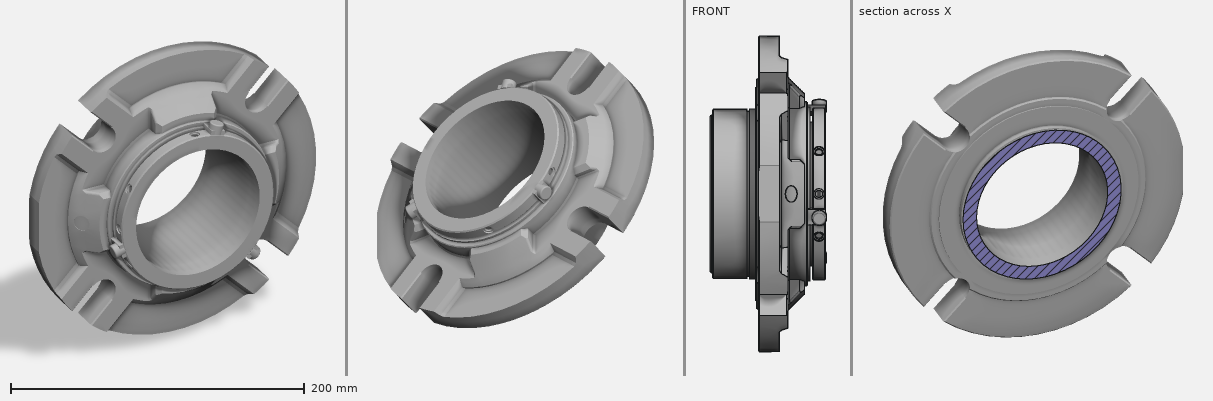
import cadquery as cq


bore_radius = 95.3 / 2
sleeve_radius = 107.8 / 2
sleeve_neck_radius = 98.3 / 2
sleeve_end_chamfer = 1.0
collar_start_x = 1.7
collar_radius = 115.8 / 2
spigot_radius = 116.2 / 2
collar_chamfer = 0.9
groove_start_x = 25.2
groove_end_x = 27.0
groove_radius = 113.0 / 2

register_face_x = 31.0
register_radius = 145.5 / 2
pilot_face_x = 32.0
pilot_radius = 79.1
pilot_chamfer = 1.0
flange_front_x = 33.0
flange_back_x = 47.5
flange_radius = 107.8
flange_chamfer = 0.9
flat_distance = 106.0

slot_angles = [45, 135, 225, 315]
slot_width = 20.0
slot_end_distance = 84.8
slot_chamfer = 0.9
pad_face_x = 53.3
pad_top_half_width = 24.5
pad_foot_half_width = 27.4
pad_base_half_width = 29.8
pad_inner_distance = 64.7

lobe_angles = [0, 90, 180, 270]
lobe_face_x = 64.7
short_lobe_face_x = 60.8
short_lobe_angle = 0
cone_top_radius = 68.4
cone_foot_x = 48.7
cone_foot_radius = cone_top_radius + lobe_face_x - cone_foot_x
lobe_half_width = 23.5
lobe_top_chamfer = 3.5
lobe_side_round = 1.7
core_radius = 63.0
core_face_x = 66.5
core_chamfer = 0.6
foot_chamfer = 1.0
end_ring_radius = 119.0 / 2
end_ring_face_x = 68.4

port_diameter = 11.2
port_x = 55.6
port_depth = 0.5

ring_start_x = 69.9
ring_end_x = 79.0
ring_radius = 117.5 / 2
ring_chamfer = 0.9
ring_middle_x = (ring_start_x + ring_end_x) / 2
screw_hole_angles = [30, 90, 150, 210, 270, 330]
slotted_screw_angle = 180
screw_hole_diameter = 7.1
screw_hole_depth = 1.0
set_screw_diameter = 5.0
set_screw_depth = 2.5
screw_slot_width = 1.5
screw_slot_depth = 1.3

clip_angles = [75, 195, 315]
clip_width = 10.8
clip_inner_radius = 58.2
clip_outer_radius = 61.5
clip_foot_radius = 56.7
cap_diameter = 10.0
cap_x = 74.6
cap_top_radius = 65.8
cap_edge_round = 0.9


def turned(points):
    """Solid of revolution about X from (x, radius) points."""
    return cq.Workplane("XY").polyline(points).close().revolve(360, (0, 0, 0), (1, 0, 0))


def about_axis(shape, angle):
    return shape.rotate((0, 0, 0), (1, 0, 0), angle)


def block(x_range, y_range, z_range):
    corner = (x_range[0], y_range[0], z_range[0])
    size = [high - low for low, high in (x_range, y_range, z_range)]
    return cq.Workplane("XY").box(*size, centered=False).translate(corner)


def radial_cylinder(x, diameter, inner, outer):
    """Cylinder along +Y between two distances from the shaft axis."""
    return (
        cq.Workplane("XZ", origin=(x, outer, 0))
        .circle(diameter / 2)
        .extrude(outer - inner)
    )


def turned_body():
    return turned([
        (0, 0),
        (0, sleeve_radius - sleeve_end_chamfer),
        (sleeve_end_chamfer, sleeve_radius),
        (collar_start_x, sleeve_radius),
        (collar_start_x, collar_radius - collar_chamfer),
        (collar_start_x + collar_chamfer, collar_radius),
        (groove_start_x, collar_radius),
        (groove_start_x, groove_radius),
        (groove_end_x, groove_radius),
        (groove_end_x, spigot_radius),
        (register_face_x, spigot_radius),
        (register_face_x, register_radius),
        (pilot_face_x, register_radius),
        (pilot_face_x, pilot_radius - pilot_chamfer),
        (flange_front_x, pilot_radius),
        (flange_front_x, flange_radius - flange_chamfer),
        (flange_front_x + flange_chamfer, flange_radius),
        (lobe_face_x, flange_radius),
        (lobe_face_x, core_radius),
        (core_face_x - core_chamfer, core_radius),
        (core_face_x, core_radius - core_chamfer),
        (core_face_x, end_ring_radius),
        (end_ring_face_x, end_ring_radius),
        (end_ring_face_x, sleeve_neck_radius),
        (ring_start_x, sleeve_neck_radius),
        (ring_start_x, ring_radius - ring_chamfer),
        (ring_start_x + ring_chamfer, ring_radius),
        (ring_end_x - ring_chamfer, ring_radius),
        (ring_end_x, ring_radius - ring_chamfer),
        (ring_end_x, 0),
    ])


def prism_along_y(upper_side, inner):
    """Prism from a distance along +Y outwards; its section mirrors (x, z) points about z = 0."""
    lower_side = [(x, -z) for x, z in reversed(upper_side)]
    return (
        cq.Workplane("XZ", origin=(0, 2 * flange_radius, 0))
        .polyline(upper_side + lower_side)
        .close()
        .extrude(2 * flange_radius - inner)
    )


def pad():
    """Strip along +Y from the recess floor to the pad face, with sloped sides and a flared foot."""
    upper_side = [
        (flange_back_x, pad_base_half_width),
        (cone_foot_x, pad_foot_half_width),
        (pad_face_x, pad_top_half_width),
    ]
    return prism_along_y(upper_side, pad_inner_distance)


def rim_recess():
    """Ring outside the hub cone, from the recess floor to the lobe faces, less the four pads."""
    ring = turned([
        (flange_back_x, cone_foot_radius),
        (cone_foot_x, cone_foot_radius),
        (lobe_face_x, cone_top_radius),
        (lobe_face_x, 2 * flange_radius),
        (flange_back_x, 2 * flange_radius),
    ])
    for angle in slot_angles:
        ring = ring.cut(about_axis(pad(), angle))
    return ring


def slot():
    """Open slot along +Y; its straight walls are chamfered at both flange faces."""
    half = slot_width / 2
    flared = half + slot_chamfer
    upper_side = [
        (0, flared),
        (flange_front_x, flared),
        (flange_front_x + slot_chamfer, half),
        (pad_face_x - slot_chamfer, half),
        (pad_face_x, flared),
        (core_face_x, flared),
    ]
    channel = prism_along_y(upper_side, slot_end_distance)
    end = cq.Workplane("YZ").center(slot_end_distance, 0).circle(half).extrude(core_face_x)
    return channel.union(end)


def lobe_bar(face_x):
    """Bar along +Y that a lobe is left from, with chamfered top edges and a flared foot."""
    upper_side = [
        (pad_face_x, lobe_half_width + foot_chamfer),
        (pad_face_x + foot_chamfer, lobe_half_width),
        (face_x - lobe_top_chamfer, lobe_half_width),
        (face_x, lobe_half_width - lobe_top_chamfer),
    ]
    return prism_along_y(upper_side, sleeve_radius)


def hub_pockets():
    """Ring around the core that is cut from the hub cone, less the four lobe bars."""
    ring = turned([
        (pad_face_x, core_radius + foot_chamfer),
        (pad_face_x + foot_chamfer, core_radius),
        (core_face_x, core_radius),
        (core_face_x, cone_foot_radius),
        (pad_face_x, cone_foot_radius),
    ])
    for angle in lobe_angles:
        face_x = short_lobe_face_x if angle == short_lobe_angle else lobe_face_x
        ring = ring.cut(about_axis(lobe_bar(face_x), angle))
    return ring


def round_lobe_flanks(body):
    """Rounds the edges where the lobe flanks meet the hub cone, turning each lobe to +Y in turn."""
    low_corner = (pad_face_x + foot_chamfer / 2, core_radius, -lobe_half_width - foot_chamfer)
    high_corner = (lobe_face_x - foot_chamfer, cone_foot_radius, lobe_half_width + foot_chamfer)
    for angle in lobe_angles:
        flanks = about_axis(body, -angle).edges(cq.selectors.BoxSelector(low_corner, high_corner))
        flanks = flanks.edges("%HYPERBOLA")
        body = about_axis(flanks.fillet(lobe_side_round), angle)
    return body


def port_seat():
    port_radius = cone_top_radius + lobe_face_x - port_x
    outward = cq.Plane(origin=(port_x, port_radius, 0), xDir=(0, 0, 1), normal=(1, 1, 0))
    return cq.Workplane(outward).circle(port_diameter / 2).extrude(port_depth, both=True)


def clip():
    """Clip on +Y: a plate over the lock ring, a foot in the gap before it and a cap screw."""
    width = (-clip_width / 2, clip_width / 2)
    plate = block((core_face_x, ring_end_x), (clip_inner_radius, clip_outer_radius), width)
    foot = block((end_ring_face_x, ring_start_x), (clip_foot_radius, clip_outer_radius), width)
    cap = radial_cylinder(cap_x, cap_diameter, clip_inner_radius, cap_top_radius)
    return plate.union(foot).union(cap.faces(">Y").edges().fillet(cap_edge_round))


def screw_hole():
    """Stepped recess left by a set screw that sits below the ring surface."""
    mouth = radial_cylinder(
        ring_middle_x, screw_hole_diameter, ring_radius - screw_hole_depth, cap_top_radius
    )
    screw_face = ring_radius - set_screw_depth
    return mouth.union(
        radial_cylinder(ring_middle_x, set_screw_diameter, screw_face, cap_top_radius)
    )


def screwdriver_slot():
    screw_face = ring_radius - set_screw_depth
    return block(
        (ring_middle_x - screw_slot_width / 2, ring_middle_x + screw_slot_width / 2),
        (screw_face - screw_slot_depth, cap_top_radius),
        (-set_screw_diameter / 2, set_screw_diameter / 2),
    )


result = turned_body()
result = result.cut(rim_recess())
result = result.cut(hub_pockets())
result = round_lobe_flanks(result)

for angle in slot_angles:
    result = result.cut(about_axis(slot(), angle))

result = result.cut(about_axis(port_seat(), 180))

for angle in screw_hole_angles + [slotted_screw_angle]:
    result = result.cut(about_axis(screw_hole(), angle))
result = result.cut(about_axis(screwdriver_slot(), slotted_screw_angle))

for angle in clip_angles:
    result = result.union(about_axis(clip(), angle))

rim_span = (-flange_radius, flange_radius)
result = result.cut(block((0, core_face_x), (-2 * flange_radius, -flat_distance), rim_span))

result = result.cut(cq.Workplane("YZ").circle(bore_radius).extrude(ring_end_x))